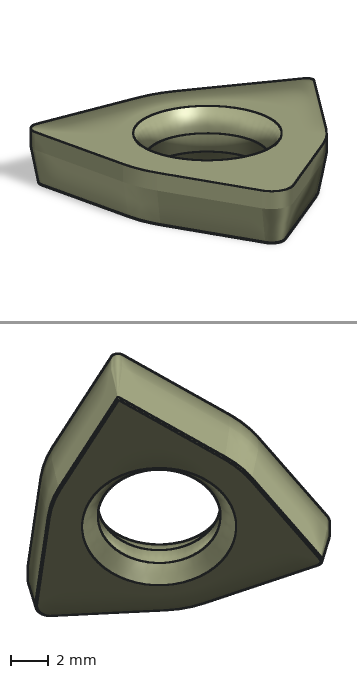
import cadquery as cq
import math

thickness = 3.18
overall_width = 16.14
corner_half_angle = 40
nose_radii = {100: 0.4, 220: 0.8, 340: 1.2}
smallest_nose = 0.003
rim_height = 1.03
relief_angle = 11
bottom_chamfer = 0.1
hole_radius = 3.26
mouth_radius = 3.95
mouth_depth = 1.29
mouth_sweep = 25
exit_chamfer = 0.84

slopes = {
    direction: abs(math.cos(math.radians(direction))) / math.sin(math.radians(corner_half_angle))
    for direction in (220, 340)
}
nose_reach = sum(nose_radii[direction] * (1 - slope) for direction, slope in slopes.items())
inscribed_radius = (overall_width - nose_reach) / sum(slopes.values())

relief_height = thickness - rim_height - bottom_chamfer
relief_inset = relief_height * math.tan(math.radians(relief_angle))


def polar(radius, angle, center=(0, 0)):
    a = math.radians(angle)
    return (center[0] + radius * math.cos(a), center[1] + radius * math.sin(a))


def outline(inset, z):
    """Wire of the trigon moved inward by inset, placed at height z."""
    flat_distance = inscribed_radius - inset
    normal_swing = 90 - corner_half_angle
    gap = 120 - 2 * normal_swing
    first_direction = min(nose_radii)
    path = cq.Workplane("XY", origin=(0, 0, z))
    path = path.moveTo(*polar(flat_distance, first_direction - normal_swing))
    for direction, top_nose in nose_radii.items():
        nose = max(top_nose - inset, smallest_nose)
        start = direction - normal_swing
        end = direction + normal_swing
        to_center = (flat_distance - nose) / math.sin(math.radians(corner_half_angle))
        center = polar(to_center, direction)
        path = path.lineTo(*polar(nose, start, center))
        path = path.threePointArc(polar(nose, direction, center), polar(nose, end, center))
        path = path.lineTo(*polar(flat_distance, end))
        path = path.threePointArc(
            polar(flat_distance, end + gap / 2), polar(flat_distance, end + gap)
        )
    return path.close().val()


def ruled_layer(upper, lower):
    return cq.Workplane(cq.Solid.makeLoft([upper, lower], True))


rim = cq.Workplane(outline(0, -rim_height)).toPending().extrude(rim_height)

relief_bottom = -rim_height - relief_height
relief = ruled_layer(outline(0, -rim_height), outline(relief_inset, relief_bottom))
body = rim.union(relief)

bevel = ruled_layer(
    outline(relief_inset, relief_bottom),
    outline(relief_inset + bottom_chamfer, -thickness),
)
body = body.union(bevel)

mouth_chord = math.hypot(mouth_radius - hole_radius, mouth_depth)
mouth_bulge = mouth_chord / 2 * math.tan(math.radians(mouth_sweep / 4))
hole = (
    cq.Workplane("XZ")
    .lineTo(mouth_radius, 0)
    .sagittaArc((hole_radius, -mouth_depth), -mouth_bulge)
    .lineTo(hole_radius, exit_chamfer - thickness)
    .lineTo(hole_radius + exit_chamfer, -thickness)
    .lineTo(0, -thickness)
    .close()
    .revolve(360, (0, 0, 0), (0, 1, 0))
)
result = body.cut(hole)